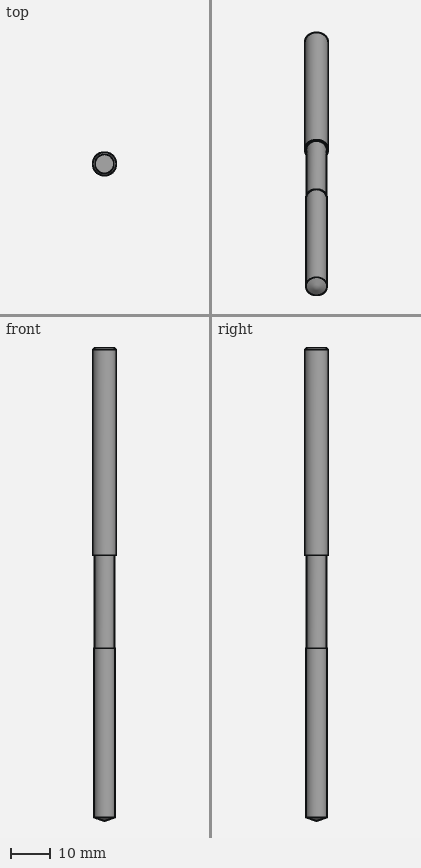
import cadquery as cq
import math

TOTAL_LENGTH = 119.0
SHANK_LENGTH = 52.2
CUTTING_LENGTH = 43.4

SHANK_DIAMETER = 6.0
NECK_DIAMETER = 5.1
CUTTING_DIAMETER = 5.4

SHANK_CHAMFER = 0.6
POINT_ANGLE = 140.0

neck_length = TOTAL_LENGTH - SHANK_LENGTH - CUTTING_LENGTH
cutting_radius = CUTTING_DIAMETER / 2
point_height = cutting_radius / math.tan(math.radians(POINT_ANGLE / 2))


def make_holder():
    """Plain neck carrying the thicker shank, chamfered at its free end."""
    neck = (
        cq.Workplane("XY")
        .workplane(offset=CUTTING_LENGTH)
        .circle(NECK_DIAMETER / 2)
        .extrude(neck_length)
    )
    shank = (
        cq.Workplane("XY")
        .workplane(offset=CUTTING_LENGTH + neck_length)
        .circle(SHANK_DIAMETER / 2)
        .extrude(SHANK_LENGTH)
        .faces(">Z")
        .chamfer(SHANK_CHAMFER)
    )
    return neck.union(shank)


def make_cutting_part():
    """Cylindrical cutting part with a conical point, revolved about Z."""
    return (
        cq.Workplane("XZ")
        .moveTo(0, 0)
        .lineTo(cutting_radius, point_height)
        .lineTo(cutting_radius, CUTTING_LENGTH)
        .lineTo(0, CUTTING_LENGTH)
        .close()
        .revolve(360, (0, 0, 0), (0, 1, 0))
    )


holder = make_holder()
cutting_part = make_cutting_part()

result = cq.Compound.makeCompound([holder.val(), cutting_part.val()])